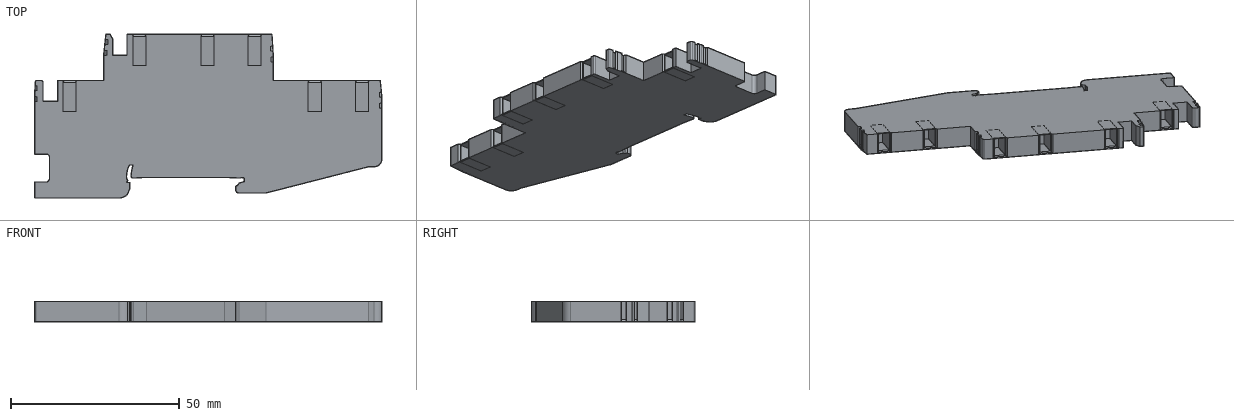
import cadquery as cq

length = 103.4
height = 48.8
thickness = 6.1

shoulder_y = 35.07
tower_left = 20.6
tower_right = 71.05
tower_left_taper = 0.6
tower_right_taper = 0.35
tower_taper_start = 43.2
end_taper = 0.5
end_taper_start = 30.3
step_radius = 0.35

hook_slot_depth = 6.24
low_hook_right = 2.55
low_slot_right = 6.87
low_hook_taper = 0.25
low_hook_taper_start = 31.0
low_hook_radius = 0.7
low_hook_tip_radius = 0.5
high_hook_right = 23.35
high_hook_tip_right = 22.5
high_hook_chamfer_height = 1.55
high_slot_right = 27.5
high_hook_radius = 0.3

end_corner_radius = 2.4
ramp_bottom_x = 68.95
ramp_top_x = 99.4
ramp_top_y = 9.3

left_foot_right = 28.4
left_foot_arc_start = 25.2
left_foot_arc_end = 27.7
left_foot_arc_rise = 1.2
left_foot_toe_top = 2.8
left_foot_heel_radius = 0.4
window_bottom = 4.8
window_top = 13.0
window_depth = 4.4
window_bottom_radius = 1.0
window_top_radius = 0.7
window_mouth_radius = 0.3

catch_ledge_y = 4.65
catch_left = 27.45
catch_top = 9.85
catch_top_left = 28.25
catch_top_right = 29.3
catch_right = 28.7
catch_right_low_y = 6.7
catch_mid_y = 8.0
catch_bow = 0.15
catch_lip_radius = 0.7
catch_nib_width = 0.3
catch_nib_low_y = 5.3
catch_nib_high_y = 5.8

rail_y = 6.13
rail_end_drop = 0.2
rail_flat_left = 33.3
rail_flat_right = 56.5

right_foot_left = 59.85
right_foot_y = 1.5
right_foot_radius = 0.95
right_foot_top = 3.5
undercut_left = 61.2
undercut_right = 62.4
undercut_bottom = 4.95
undercut_lead_in = 0.4
right_foot_crest = (60.9, 4.5)
right_foot_shoulder = (60.5, 3.9)

groove_depth = 0.65
groove_mouth = 4.4
groove_floor = 3.3
tower_groove_centers = (31.2, 51.5, 65.5)
shoulder_groove_centers = (10.45, 83.4, 97.5)
pocket_width = 3.9
pocket_bottom_depth = 9.3
pocket_wall = 0.22

latch_mouth = 1.7
latch_floor = 1.3
latch_pitch = 3.25
latch_depth = 0.7
high_hook_latch_depth = 0.95
left_latch_offset = 2.35
right_latch_offset = 4.3


def plate():
    """Housing outline, extruded to the full thickness."""
    rail_end_y = rail_y - rail_end_drop
    slot_floor_high = height - hook_slot_depth
    slot_floor_low = shoulder_y - hook_slot_depth
    outline = (
        cq.Workplane("XY")
        .moveTo(0, 0)
        .lineTo(left_foot_arc_start, 0)
        .tangentArcPoint((left_foot_arc_end, left_foot_arc_rise), relative=False)
        .lineTo(left_foot_right, left_foot_toe_top)
        .lineTo(left_foot_right, catch_ledge_y)
        .lineTo(catch_left, catch_ledge_y)
        .lineTo(catch_left + catch_nib_width, catch_nib_low_y)
        .lineTo(catch_left, catch_nib_high_y)
        .threePointArc((catch_left + catch_bow, catch_mid_y), (catch_top_left, catch_top))
        .lineTo(catch_top_right, catch_top)
        .threePointArc((catch_right + catch_bow, catch_mid_y), (catch_right, catch_right_low_y))
        .tangentArcPoint((catch_right + catch_lip_radius, rail_end_y), relative=False)
        .lineTo(rail_flat_left, rail_y)
        .lineTo(rail_flat_right, rail_y)
        .lineTo(undercut_left, rail_end_y)
        .lineTo(undercut_left + undercut_lead_in, rail_y)
        .lineTo(undercut_right, rail_end_y)
        .lineTo(undercut_right, undercut_bottom)
        .lineTo(*right_foot_crest)
        .lineTo(*right_foot_shoulder)
        .lineTo(right_foot_left, right_foot_top)
        .lineTo(right_foot_left, right_foot_y)
        .lineTo(ramp_bottom_x, right_foot_y)
        .lineTo(ramp_top_x, ramp_top_y)
        .lineTo(length, ramp_top_y)
        .lineTo(length, end_taper_start)
        .lineTo(length - end_taper, shoulder_y)
        .lineTo(tower_right, shoulder_y)
        .lineTo(tower_right, tower_taper_start)
        .lineTo(tower_right - tower_right_taper, height)
        .lineTo(high_slot_right, height)
        .lineTo(high_slot_right, slot_floor_high)
        .lineTo(high_hook_right, slot_floor_high)
        .lineTo(high_hook_right, height - high_hook_chamfer_height)
        .lineTo(high_hook_tip_right, height)
        .lineTo(tower_left + tower_left_taper, height)
        .lineTo(tower_left, tower_taper_start)
        .lineTo(tower_left, shoulder_y)
        .lineTo(low_slot_right, shoulder_y)
        .lineTo(low_slot_right, slot_floor_low)
        .lineTo(low_hook_right, slot_floor_low)
        .lineTo(low_hook_right, shoulder_y)
        .lineTo(low_hook_taper, shoulder_y)
        .lineTo(0, low_hook_taper_start)
        .lineTo(0, window_top)
        .lineTo(window_depth, window_top)
        .lineTo(window_depth, window_bottom)
        .lineTo(0, window_bottom)
        .close()
    )
    return outline.extrude(thickness)


def round_corners(body):
    """Round the upright edges at the corners listed as x, y, radius."""
    corners = (
        (0, 0, left_foot_heel_radius),
        (window_depth, window_bottom, window_bottom_radius),
        (window_depth, window_top, window_top_radius),
        (0, window_top, window_mouth_radius),
        (low_hook_taper, shoulder_y, low_hook_tip_radius),
        (low_hook_right, shoulder_y, low_hook_radius),
        (tower_left + tower_left_taper, height, high_hook_radius),
        (high_slot_right, height, step_radius),
        (tower_right - tower_right_taper, height, step_radius),
        (length, ramp_top_y, end_corner_radius),
        (right_foot_left, right_foot_y, right_foot_radius),
    )
    for x, y, radius in corners:
        corner_edge = cq.NearestToPointSelector((x, y, thickness / 2))
        body = body.edges("|Z").edges(corner_edge).fillet(radius)
    return body


def groove(x, y, angle, mouth, floor, depth):
    """Groove open at the top face, with tapered flanks and a 45 degree lower end.

    It is cut inward from an edge point; angle turns it from the +Y edge.
    """
    section = (
        cq.Workplane("XY")
        .polyline([(-mouth / 2, 0), (mouth / 2, 0), (floor / 2, -depth), (-floor / 2, -depth)])
        .close()
        .extrude(thickness)
    )
    sloped_end = (
        cq.Workplane("YZ")
        .polyline([(0, 0), (-depth, depth), (-depth, thickness), (0, thickness)])
        .close()
        .extrude(mouth / 2, both=True)
    )
    cutter = section.intersect(sloped_end)
    return cutter.rotate((0, 0, 0), (0, 0, 1), angle).translate((x, y, 0))


def marker_slot(x, edge_y):
    """Marker groove plus the blind pocket behind it, closed by thin walls above and below."""
    pocket_length = pocket_bottom_depth - groove_depth
    pocket = (
        cq.Workplane("XY")
        .box(pocket_width, pocket_length, thickness - 2 * pocket_wall, centered=(True, False, False))
        .translate((x, edge_y - pocket_bottom_depth, pocket_wall))
    )
    return groove(x, edge_y, 0, groove_mouth, groove_floor, groove_depth).union(pocket)


def cut_latch_pair(body, edge_x, top_y, angle, depth):
    """Two latch grooves, one below the other; edge_x is the x of the end face at each groove."""
    for i, x in enumerate(edge_x):
        body = body.cut(groove(x, top_y - i * latch_pitch, angle, latch_mouth, latch_floor, depth))
    return body


def cut_latches(body):
    left_turn = 90
    right_turn = -90
    high_left_y = height - left_latch_offset
    high_right_y = height - right_latch_offset
    tower_taper_height = height - tower_taper_start
    high_left_x = tower_left + tower_left_taper * (high_left_y - tower_taper_start) / tower_taper_height
    low_left_y = shoulder_y - left_latch_offset
    low_hook_taper_height = shoulder_y - low_hook_taper_start
    low_left_x = low_hook_taper * (low_left_y - low_hook_taper_start) / low_hook_taper_height
    high_right_x = tower_right - tower_right_taper * (high_right_y - tower_taper_start) / tower_taper_height
    low_right_y = shoulder_y - right_latch_offset
    low_right_x = length - end_taper * (low_right_y - end_taper_start) / (shoulder_y - end_taper_start)

    body = cut_latch_pair(
        body, (high_left_x, tower_left), high_left_y, left_turn, high_hook_latch_depth)
    body = cut_latch_pair(body, (low_left_x, 0), low_left_y, left_turn, latch_depth)
    body = cut_latch_pair(body, (high_right_x, tower_right), high_right_y, right_turn, latch_depth)
    return cut_latch_pair(body, (low_right_x, length), low_right_y, right_turn, latch_depth)


result = round_corners(plate())
for center in tower_groove_centers:
    result = result.cut(marker_slot(center, height))
for center in shoulder_groove_centers:
    result = result.cut(marker_slot(center, shoulder_y))
result = cut_latches(result)